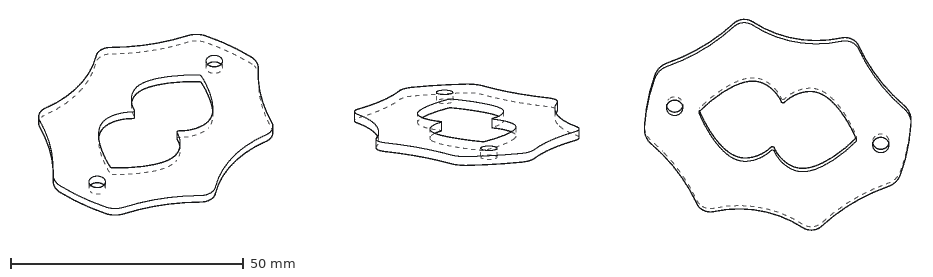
import cadquery as cq

LENGTH = 56.9
THICKNESS = 2.0
HALF_LENGTH = LENGTH / 2

SHOULDER = (8.15, 27.7)
HORN = (23.25, 12.2)
FLANK_MIDDLE = (14.6, 18.95)
WAIST_HALF_WIDTH = 19.9
SHOULDER_RADIUS = 4.55
HORN_RADIUS = 3.2

HOLE_DIAMETER = 3.5
HOLE_OFFSET = 22.6

WINDOW_NECK = (5.05, 0)
WINDOW_LOWER = (8.1, 2.6)
WINDOW_WIDEST = (9.35, 5.8)
WINDOW_UPPER = (6.5, 12.05)
WINDOW_APEX = (0, 17.3)
NECK_RADIUS = 0.45
APEX_RADIUS = 0.45


def flip(point, x_sign, y_sign):
    """Reflect a first-quadrant point into another quadrant."""
    return (x_sign * point[0], y_sign * point[1])


def make_plate():
    """Eight-arc outline with rounded shoulders and horns."""
    plate = (
        cq.Workplane("XY")
        .moveTo(*flip(SHOULDER, -1, 1))
        .threePointArc((0, HALF_LENGTH), SHOULDER)
        .threePointArc(FLANK_MIDDLE, HORN)
        .threePointArc((WAIST_HALF_WIDTH, 0), flip(HORN, 1, -1))
        .threePointArc(flip(FLANK_MIDDLE, 1, -1), flip(SHOULDER, 1, -1))
        .threePointArc((0, -HALF_LENGTH), flip(SHOULDER, -1, -1))
        .threePointArc(flip(FLANK_MIDDLE, -1, -1), flip(HORN, -1, -1))
        .threePointArc((-WAIST_HALF_WIDTH, 0), flip(HORN, -1, 1))
        .threePointArc(flip(FLANK_MIDDLE, -1, 1), flip(SHOULDER, -1, 1))
        .close()
        .extrude(THICKNESS)
    )
    for corner, radius in ((SHOULDER, SHOULDER_RADIUS), (HORN, HORN_RADIUS)):
        for x_sign in (-1, 1):
            for y_sign in (-1, 1):
                x, y = flip(corner, x_sign, y_sign)
                nearest = cq.selectors.NearestToPointSelector((x, y, THICKNESS / 2))
                plate = plate.edges("|Z").edges(nearest).fillet(radius)
    return plate


def make_window():
    """Cutter for the window, with slightly rounded necks and apexes."""
    lobe_side = (WINDOW_NECK, WINDOW_LOWER, WINDOW_WIDEST, WINDOW_UPPER, WINDOW_APEX)
    window = cq.Workplane("XY").moveTo(*WINDOW_NECK)
    for x_sign, y_sign in ((1, 1), (-1, 1), (-1, -1), (1, -1)):
        curve = [flip(point, x_sign, y_sign) for point in lobe_side]
        if x_sign != y_sign:
            curve.reverse()
        window = window.spline(curve[1:], includeCurrent=True)
    window = window.close().extrude(THICKNESS)
    for corner, radius in ((WINDOW_NECK, NECK_RADIUS), (WINDOW_APEX, APEX_RADIUS)):
        for sign in (-1, 1):
            x, y = flip(corner, sign, sign)
            nearest = cq.selectors.NearestToPointSelector((x, y, THICKNESS / 2))
            window = window.edges("|Z").edges(nearest).fillet(radius)
    return window


def make_screw_holes():
    """Cutters for the two through holes on the long axis."""
    return (
        cq.Workplane("XY")
        .pushPoints([(0, HOLE_OFFSET), (0, -HOLE_OFFSET)])
        .circle(HOLE_DIAMETER / 2)
        .extrude(THICKNESS)
    )


result = make_plate().cut(make_window()).cut(make_screw_holes())